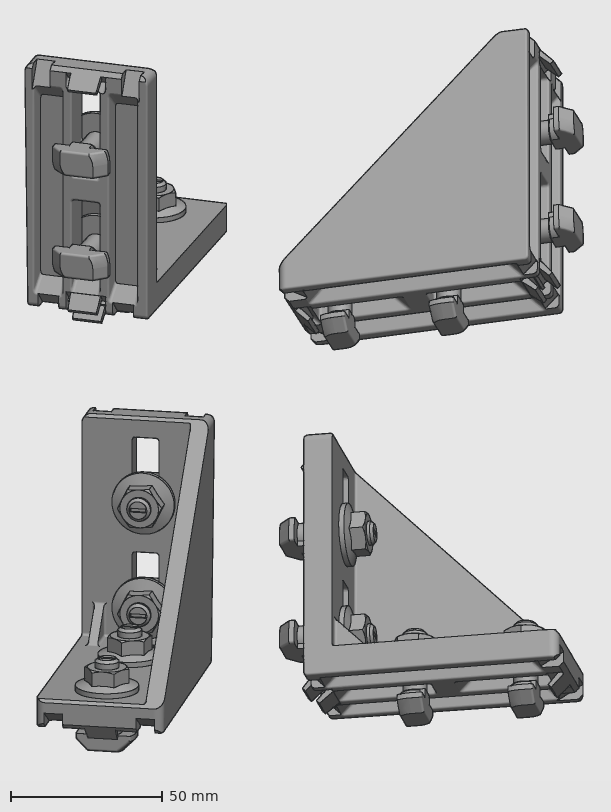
import cadquery as cq
import math

WIDTH = 43.0
LEG = 86.0
LEG_THICKNESS = 9.75
LEG_TIP = 8.7
GUSSET_THICKNESS = 6.1
DRAFT = math.radians(1.0)
END_RADIUS = 3.0
EDGE_RADIUS = 0.65
CORNER_RADIUS = 1.5
ROOT_RADIUS = 0.9
END_CHAMFER = 1.5

CHANNEL_OFFSET = 13.0
CHANNEL_DEPTH = 5.2
CHANNEL_MOUTH_WIDTH = 9.9
CHANNEL_FLOOR_WIDTH = 8.7
CHANNEL_START = 4.5
CHANNEL_END = 78.9

RAMP_INNER_X = 12.4
RAMP_OUTER_X = 18.6
RAMP_DEPTH = 5.1
RAMP_LENGTH = 8.7

CORNER_CUT = 5.0
CORNER_CUT_WIDTH = 7.2

SLOT_WIDTH = 9.0
SLOT_MOUTH_WIDTH = 9.8
SLOT_RANGES = [(6.5, 39.5), (47.3, 79.0)]
POCKET_CORNER_RADIUS = 1.0

TAB_ROOT_WIDTH = 10.4
TAB_TIP_WIDTH = 9.9
TAB_TIP_THICKNESS = 1.5
TAB_LENGTH = 6.05
NOTCH_WIDTH = 13.8
NOTCH_DEPTH = 4.2
END_NOTCH_RADIUS = 1.1
CORNER_TAB_START = 6.7
CORNER_TAB_ROOT_THICKNESS = 2.3
CORNER_TAB_LEAN = 0.65
END_TAB_START = LEG - END_CHAMFER
END_TAB_ROOT_THICKNESS = 1.9

RIB_X = 15.5
RIB_WIDTH = 3.2
RIB_LENGTH = 11.4

SHANK_DIAMETER = 8.0
BOLT_LENGTH = 31.1
BOLT_TIP_CHAMFER = 1.0
DRIVER_SLOT_LENGTH = 5.2
DRIVER_SLOT_WIDTH = 1.3
DRIVER_SLOT_DEPTH = 1.0
HEAD_LENGTH = 19.4
HEAD_WIDTH = 8.66
HEAD_HEIGHT = 5.85
HEAD_BEVEL = 4.0
HEAD_EDGE_RADIUS = 0.8
NECK_RADIUS = 5.05
NECK_HEIGHT = 3.15
NECK_CHAMFER = 0.4
UPRIGHT_HEAD_REACH = 11.3
LYING_HEAD_REACH = 10.36
UPRIGHT_BOLT_PLACES = [20.5, 56.8]
LYING_BOLT_PLACES = [33.3, 70.7]

NUT_HEIGHT = 8.0
NUT_ACROSS_FLATS = 13.0
FLANGE_DIAMETER = 21.0
FLANGE_RIM = 1.75
FLANGE_SLOPE = math.radians(19.0)
NUT_CHAMFER_ANGLE = math.radians(30.0)
UPRIGHT_NUT_TURNS = [4.0, 4.0]
LYING_NUT_TURNS = [21.0, 0.0]

HALF_WIDTH = WIDTH / 2
SLOPE_SUM = LEG + LEG_TIP
SLOPE_DISTANCE = SLOPE_SUM / math.sqrt(2)
BOLT_X = (SLOT_WIDTH - SHANK_DIAMETER) / 2
LEG_SWAP = (0, 1, -1)
OVERSHOOT = 5.0
SELECT_MARGIN = 0.01


def side_profile(points, x_min, x_max):
    """Prism along X from (y, z) points."""
    return cq.Workplane("YZ", origin=(x_min, 0, 0)).polyline(points).close().extrude(x_max - x_min)


def both_legs(upright):
    """An upright-leg feature together with its twin on the lying leg."""
    return upright.union(upright.mirror(LEG_SWAP))


def turn(part, angle):
    """Turn a part about the Z axis by an angle in degrees."""
    return part.rotate((0, 0, 0), (0, 0, 1), angle)


def slope_prism(points):
    """Prism along the sloping edge from (x, distance below that edge) points."""
    plane = cq.Plane(
        origin=(0, SLOPE_SUM / 2, SLOPE_SUM / 2), xDir=(1, 0, 0), normal=(0, -1, 1)
    )
    return cq.Workplane(plane).polyline([(x, -d) for x, d in points]).close().extrude(LEG, both=True)


def outer_block():
    """Solid triangle with the drafted gusset face, rounded leg ends and rounded outer corner."""
    outline = [(0, 0), (LEG, 0), (LEG, LEG_TIP), (LEG_TIP, LEG), (0, LEG)]
    deep = SLOPE_DISTANCE + OVERSHOOT
    lean = deep * math.tan(DRAFT)
    envelope = slope_prism([
        (-HALF_WIDTH, 0),
        (HALF_WIDTH, 0),
        (HALF_WIDTH, deep),
        (-HALF_WIDTH + lean, deep),
    ])
    block = side_profile(outline, -HALF_WIDTH, HALF_WIDTH).intersect(envelope)
    block = block.faces(">Z").edges("<X or >X").fillet(END_RADIUS)
    block = block.faces(">Y").edges("<X or >X").fillet(END_RADIUS)
    return block.faces("<Y").edges("<Z").fillet(CORNER_RADIUS)


def end_chamfer():
    """Wedge removed from the outer edge at the end of the upright leg."""
    return side_profile(
        [(0, LEG - END_CHAMFER), (END_CHAMFER, LEG), (0, LEG)], -HALF_WIDTH, HALF_WIDTH
    )


def inner_space():
    """Open space between the legs, beside the drafted gusset."""
    gusset_inside = -HALF_WIDTH + GUSSET_THICKNESS
    deep = SLOPE_DISTANCE
    lean = deep * math.tan(DRAFT)
    space = slope_prism([
        (gusset_inside, -OVERSHOOT),
        (HALF_WIDTH + OVERSHOOT, -OVERSHOOT),
        (HALF_WIDTH + OVERSHOOT, deep),
        (gusset_inside + lean, deep),
        (gusset_inside, 0),
    ])
    quadrant = cq.Workplane("XY").box(2 * WIDTH, LEG, LEG, centered=(True, False, False))
    return space.intersect(quadrant.translate((0, LEG_THICKNESS, LEG_THICKNESS)))


def corner_rib():
    """Triangular rib between the inner faces of the legs, near the open side."""
    start = LEG_THICKNESS - OVERSHOOT / 2
    tip = LEG_THICKNESS + RIB_LENGTH
    return side_profile(
        [(start, start), (tip, start), (tip, LEG_THICKNESS), (LEG_THICKNESS, tip), (start, tip)],
        RIB_X - RIB_WIDTH / 2,
        RIB_X + RIB_WIDTH / 2,
    )


def tapered_pocket(x, mouth_width, mouth_range, floor_width, floor_range, depth):
    """Tapered rectangular pocket in the outer face of the upright leg."""
    mouth_low, mouth_high = mouth_range
    floor_low, floor_high = floor_range
    mouth_middle = (mouth_low + mouth_high) / 2
    floor_middle = (floor_low + floor_high) / 2
    pocket = (
        cq.Workplane("XZ", origin=(x, 0, 0))
        .center(0, mouth_middle)
        .rect(mouth_width, mouth_high - mouth_low)
        .workplane(offset=-depth)
        .center(0, floor_middle - mouth_middle)
        .rect(floor_width, floor_high - floor_low)
        .loft(ruled=True)
    )
    return pocket.edges("not(#Y)").fillet(POCKET_CORNER_RADIUS)


def channels():
    """Long tapered channels on either side of the bolt slots."""
    cutter = cq.Workplane("XY")
    for x in (-CHANNEL_OFFSET, CHANNEL_OFFSET):
        cutter = cutter.union(tapered_pocket(
            x,
            CHANNEL_MOUTH_WIDTH,
            (CHANNEL_START, CHANNEL_END),
            CHANNEL_FLOOR_WIDTH,
            (CHANNEL_START + CHANNEL_DEPTH, CHANNEL_END - CHANNEL_DEPTH),
            CHANNEL_DEPTH,
        ))
    return cutter


def bolt_slots():
    """Slots through the upright leg; the end nearer the corner slopes at 45 degrees."""
    cutter = cq.Workplane("XY")
    for low, high in SLOT_RANGES:
        cutter = cutter.union(tapered_pocket(
            0,
            SLOT_MOUTH_WIDTH,
            (low, high),
            SLOT_WIDTH,
            (low + LEG_THICKNESS, high),
            LEG_THICKNESS,
        ))
    return cutter


def channel_ramps():
    """Wedges that run each channel out through the end of the upright leg."""
    profile = [(0, LEG), (RAMP_DEPTH, LEG), (0, LEG - RAMP_LENGTH)]
    right = side_profile(profile, RAMP_INNER_X, RAMP_OUTER_X)
    return right.union(right.mirror("YZ"))


def corner_cuts():
    """Wedges taken off the outer corner, one per channel and one between the tabs."""
    profile = [(0, 0), (CORNER_CUT, 0), (0, CORNER_CUT)]
    cutter = side_profile(profile, -NOTCH_WIDTH / 2, NOTCH_WIDTH / 2)
    for x in (-CHANNEL_OFFSET, CHANNEL_OFFSET):
        cutter = cutter.union(side_profile(profile, x - CORNER_CUT_WIDTH / 2, x + CORNER_CUT_WIDTH / 2))
    return cutter


def diagonal_plane(start):
    """Plane through z = start on the outer face, facing the 45 degree tab direction."""
    return cq.Plane(origin=(0, 0, start), xDir=(1, 0, 0), normal=(0, -1, -1))


def make_tab(start, root_thickness, lean):
    """Tapered tab sticking out of the upright leg at 45 degrees, towards the corner."""
    root_middle = -root_thickness / 2
    tip_middle = -lean - TAB_TIP_THICKNESS / 2
    return (
        cq.Workplane(diagonal_plane(start))
        .center(0, root_middle)
        .rect(TAB_ROOT_WIDTH, root_thickness)
        .workplane(offset=TAB_LENGTH)
        .center(0, tip_middle - root_middle)
        .rect(TAB_TIP_WIDTH, TAB_TIP_THICKNESS)
        .loft(ruled=True)
    )


def tabs():
    """The two tabs of the upright leg."""
    corner_tab = make_tab(CORNER_TAB_START, CORNER_TAB_ROOT_THICKNESS, CORNER_TAB_LEAN)
    end_tab = make_tab(END_TAB_START, END_TAB_ROOT_THICKNESS, 0)
    return corner_tab.union(end_tab)


def square_notch(start):
    """Square 45 degree notch that a tab stands in."""
    return (
        cq.Workplane(diagonal_plane(start))
        .center(0, -NOTCH_DEPTH / 2)
        .rect(NOTCH_WIDTH, NOTCH_DEPTH)
        .extrude(TAB_LENGTH)
    )


def tab_notches():
    """Both notches; the one at the leg end has its two floor corners rounded."""
    floor_normal = cq.Vector(0, 1, -1)
    end_notch = square_notch(END_TAB_START)
    floor = end_notch.faces(cq.selectors.DirectionMinMaxSelector(floor_normal, True))
    end_notch = floor.edges("<X or >X").fillet(END_NOTCH_RADIUS)
    return square_notch(CORNER_TAB_START).union(end_notch)


def inner_root_edges(body):
    """Edges where the legs, the gusset and the rib meet one another."""
    roots = []
    for edge in body.edges("not %CIRCLE").vals():
        middle = edge.Center()
        box = edge.BoundingBox()
        on_wall = abs(box.ymax - LEG_THICKNESS) < SELECT_MARGIN and box.ylen < SELECT_MARGIN
        on_floor = abs(box.zmax - LEG_THICKNESS) < SELECT_MARGIN and box.zlen < SELECT_MARGIN
        at_end = max(middle.y, middle.z) > LEG - LEG_TIP
        at_side = middle.x > HALF_WIDTH - SELECT_MARGIN
        if (on_wall or on_floor) and not at_end and not at_side:
            roots.append(edge)
    return roots


def outer_rim_edges(body):
    """Side edges of the legs and mouths of the pockets, all lying in the two outer faces."""
    rims = []
    for edge in body.edges().vals():
        box = edge.BoundingBox()
        on_outer_face = min(box.ymax, box.zmax) < SELECT_MARGIN
        across_leg = box.xlen > CHANNEL_OFFSET * 2
        if on_outer_face and not across_leg:
            rims.append(edge)
    return rims


def make_bracket():
    """The whole bracket; roots and rims are rounded before the notches interrupt them."""
    body = outer_block().cut(inner_space()).union(corner_rib())
    body = body.newObject(inner_root_edges(body)).fillet(ROOT_RADIUS)
    body = body.cut(both_legs(channels())).cut(both_legs(bolt_slots()))
    body = body.newObject(outer_rim_edges(body)).fillet(EDGE_RADIUS)
    for cutter in (end_chamfer(), channel_ramps(), tab_notches()):
        body = body.cut(both_legs(cutter))
    return body.cut(corner_cuts()).union(both_legs(tabs()))


def hammer_solid(round_profile, square_profile, half_width):
    """Bolt section with two square corners and two corners turned about the bolt axis.

    The profiles list (radius, z) points from the bottom to the top of the section.
    """
    bottom = round_profile[0][1]
    top = round_profile[-1][1]
    reach = max(radius for radius, _ in round_profile)
    round_outline = cq.Workplane("XZ").polyline([(0, bottom), *round_profile, (0, top)]).close()
    square_outline = cq.Workplane("XZ").polyline([(0, bottom), *square_profile, (0, top)]).close()
    slab = (
        cq.Workplane("XY", origin=(0, 0, bottom))
        .rect(2 * reach, 2 * half_width)
        .extrude(top - bottom)
    )
    turned = round_outline.revolve(360, (0, 0, 0), (0, 1, 0)).intersect(slab)
    back_right = square_outline.extrude(-half_width)
    front_left = turn(back_right, 180)
    return turned.union(back_right).union(front_left)


def bolt_head():
    """Bevelled hammer head with its flank edges rounded."""
    half_length = HEAD_LENGTH / 2
    profile = [
        (half_length - HEAD_BEVEL, 0),
        (half_length, HEAD_BEVEL),
        (half_length, HEAD_HEIGHT),
    ]
    head = hammer_solid(profile, profile, HEAD_WIDTH / 2)
    return head.faces("<Y or >Y").edges("not >Z").fillet(HEAD_EDGE_RADIUS)


def make_bolt():
    """Bolt standing on its head, with its axis along Z."""
    half_width = HEAD_WIDTH / 2
    neck_top = HEAD_HEIGHT + NECK_HEIGHT
    neck_round = [
        (NECK_RADIUS, HEAD_HEIGHT),
        (NECK_RADIUS, neck_top - NECK_CHAMFER),
        (NECK_RADIUS - NECK_CHAMFER, neck_top),
    ]
    neck_square = [(half_width, HEAD_HEIGHT), (half_width, neck_top)]
    neck = hammer_solid(neck_round, neck_square, half_width)
    shank = (
        cq.Workplane("XY", origin=(0, 0, HEAD_HEIGHT))
        .circle(SHANK_DIAMETER / 2)
        .extrude(BOLT_LENGTH - HEAD_HEIGHT)
        .faces(">Z")
        .chamfer(BOLT_TIP_CHAMFER)
    )
    driver_slot = (
        cq.Workplane("XY", origin=(0, 0, BOLT_LENGTH))
        .rect(DRIVER_SLOT_LENGTH, DRIVER_SLOT_WIDTH)
        .extrude(-DRIVER_SLOT_DEPTH)
    )
    return bolt_head().union(neck).union(shank).cut(driver_slot)


def make_nut():
    """Hexagon flange nut standing on its flange, with its axis along Z."""
    corner_radius = NUT_ACROSS_FLATS / math.sqrt(3)
    flat_radius = NUT_ACROSS_FLATS / 2
    flange_radius = FLANGE_DIAMETER / 2
    flange_top = FLANGE_RIM + (flange_radius - flat_radius) * math.tan(FLANGE_SLOPE)
    chamfer_drop = (corner_radius - flat_radius) * math.tan(NUT_CHAMFER_ANGLE)
    hexagon = cq.Workplane("XY").polygon(6, 2 * corner_radius).extrude(NUT_HEIGHT)
    turned_blank = (
        cq.Workplane("XZ")
        .polyline([
            (0, 0),
            (corner_radius, 0),
            (corner_radius, NUT_HEIGHT - chamfer_drop),
            (flat_radius, NUT_HEIGHT),
            (0, NUT_HEIGHT),
        ])
        .close()
        .revolve(360, (0, 0, 0), (0, 1, 0))
    )
    flange = (
        cq.Workplane("XZ")
        .polyline([
            (0, 0),
            (flange_radius, 0),
            (flange_radius, FLANGE_RIM),
            (flat_radius, flange_top),
            (0, flange_top),
        ])
        .close()
        .revolve(360, (0, 0, 0), (0, 1, 0))
    )
    bore = cq.Workplane("XY").circle(SHANK_DIAMETER / 2).extrude(NUT_HEIGHT)
    return hexagon.intersect(turned_blank).union(flange).cut(bore)


def on_lying_leg(part, distance, height):
    """Place an upright-axis part on the lying leg, at a distance from the corner."""
    return part.translate((BOLT_X, distance, height))


def on_upright_leg(part, distance, depth):
    """Turn a part so that its +Z axis points to +Y and place it on the upright leg."""
    turned = part.rotate((0, 0, 0), (1, 0, 0), -90)
    return turned.translate((BOLT_X, depth, distance))


bolts = []
nuts = []
bolt = make_bolt()
nut = make_nut()
for place, angle in zip(LYING_BOLT_PLACES, LYING_NUT_TURNS):
    bolts.append(on_lying_leg(bolt, place, -LYING_HEAD_REACH))
    nuts.append(on_lying_leg(turn(nut, angle), place, LEG_THICKNESS))
for place, angle in zip(UPRIGHT_BOLT_PLACES, UPRIGHT_NUT_TURNS):
    bolts.append(on_upright_leg(bolt, place, -UPRIGHT_HEAD_REACH))
    nuts.append(on_upright_leg(turn(nut, angle), place, LEG_THICKNESS))

bracket = make_bracket()
for body in bolts + nuts:
    bracket = bracket.cut(body)

result = cq.Compound.makeCompound([
    bracket.solids().val(),
    *[body.solids().val() for body in bolts],
    *[body.solids().val() for body in nuts],
])